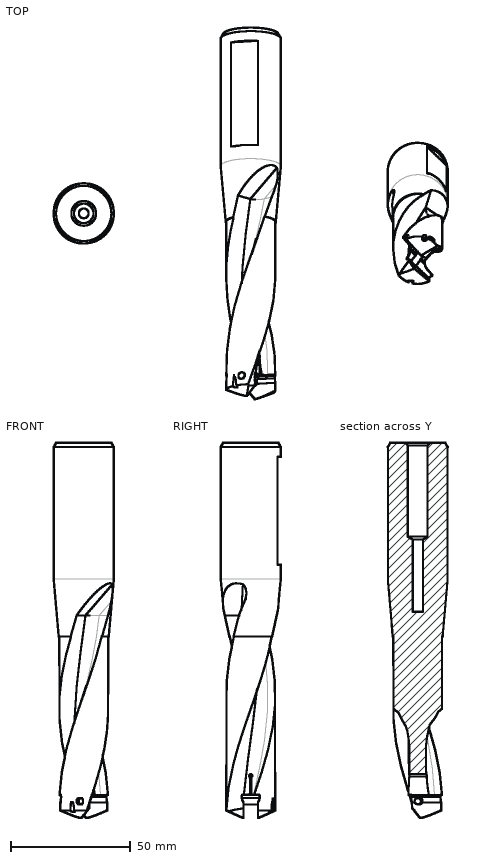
import cadquery as cq
import math


total_length = 157.3
shank_radius = 25.3 / 2
shank_bottom = 100.2
shank_chamfer_height = 1.9
shank_chamfer_angle = 30.0
shank_chamfer_width = shank_chamfer_height * math.tan(math.radians(shank_chamfer_angle))
collar_bottom = 76.2
collar_bottom_radius = 10.5
body_radius = 20.6 / 2
point_rim_radius = 3.3
point_height = 3.1

flat_depth = 1.4
flat_bottom = 106.2
flat_top = 151.4

bore_radius = 4.1
bore_depth = 39.3
bore_chamfer = 1.1
drill_point_half_angle = 59.0
channel_radius = 2.0
channel_bottom = 86.5

flute_count = 2
degrees_per_unit = 1.945
first_flute_angle = 129.0
flute_start = -1.5
helix_end = 85.0
wall_length = 18.9
lead_wall_angle = 40.0
trail_wall_angle = -38.0
lead_corner = (5.3, 4.7)
floor_bottom = (3.5, 1.3)
trail_corner = (4.0, -1.0)
runout_shift_x = 13.2
runout_shift_y = 0.8
runout_height = shank_bottom - helix_end

gash_height = 5.8
gash_top_x = -3.6
gash_bottom_x = 1.0

slot_width = 6.0
slot_top = 9.8
slot_top_width = 7.0
groove_width = 7.7
groove_top = 8.8
groove_bottom = 6.6
groove_bulge = 0.7
slit_width = 0.6
slit_end = 17.8
slit_hole_diameter = 1.1

pin_diameter = 2.8
pin_height = 7.1
pin_tilt = 9.0
pin_length = 9.5

outlet_diameter = 2.0
outlet_angle = 242.0
outlet_exit_height = 3.0
outlet_exit_radius = 9.9
outlet_tilt = 9.5
outlet_length = 9.5

across = 4 * shank_radius


def polar(radius, angle):
    return (radius * math.cos(math.radians(angle)), radius * math.sin(math.radians(angle)))


def turned_blank():
    return (
        cq.Workplane("XZ")
        .moveTo(0, 0)
        .lineTo(point_rim_radius, 0)
        .lineTo(body_radius, point_height)
        .lineTo(body_radius, collar_bottom)
        .lineTo(collar_bottom_radius, collar_bottom)
        .lineTo(shank_radius, shank_bottom)
        .lineTo(shank_radius, total_length - shank_chamfer_height)
        .lineTo(shank_radius - shank_chamfer_width, total_length)
        .lineTo(0, total_length)
        .close()
        .revolve(360, (0, 0, 0), (0, 1, 0))
    )


def clamping_flat():
    return (
        cq.Workplane("XY")
        .box(across, across, flat_top - flat_bottom, centered=(True, False, False))
        .translate((0, shank_radius - flat_depth, flat_bottom))
    )


def coolant_bore():
    floor_slope = math.tan(math.radians(drill_point_half_angle))
    bore_floor = total_length - bore_depth
    channel_top = bore_floor - (bore_radius - channel_radius) / floor_slope
    return (
        cq.Workplane("XZ")
        .moveTo(0, channel_bottom)
        .lineTo(channel_radius, channel_bottom)
        .lineTo(channel_radius, channel_top)
        .lineTo(bore_radius, bore_floor)
        .lineTo(bore_radius, total_length - bore_chamfer)
        .lineTo(bore_radius + bore_chamfer, total_length)
        .lineTo(0, total_length)
        .close()
        .revolve(360, (0, 0, 0), (0, 1, 0))
    )


def extended_wall_end(corner, surface_angle):
    """Point where the wall from corner through the body surface reaches past the part."""
    surface = cq.Vector(*polar(body_radius, surface_angle))
    start = cq.Vector(*corner)
    direction = (surface - start).normalized()
    end = start + direction * wall_length
    return (end.x, end.y)


def flute_profile():
    """Flute section pointing along +X: two straight walls and a rounded floor."""
    return (
        cq.Workplane("XY")
        .moveTo(*extended_wall_end(trail_corner, trail_wall_angle))
        .lineTo(*trail_corner)
        .threePointArc(floor_bottom, lead_corner)
        .lineTo(*extended_wall_end(lead_corner, lead_wall_angle))
        .close()
    )


def helical_flute():
    height = helix_end - flute_start
    start_angle = first_flute_angle + degrees_per_unit * flute_start
    return (
        flute_profile()
        .twistExtrude(height, degrees_per_unit * height)
        .rotate((0, 0, 0), (0, 0, 1), start_angle)
        .translate((0, 0, flute_start))
    )


def flute_runout():
    """Oblique continuation of the flute that climbs out through the collar."""
    end_angle = first_flute_angle + degrees_per_unit * helix_end
    wire = flute_profile().wire().val().rotate(cq.Vector(), cq.Vector(0, 0, 1), end_angle)
    wire = wire.translate(cq.Vector(0, 0, helix_end))
    travel = cq.Vector(runout_shift_x, runout_shift_y, runout_height)
    return cq.Workplane(cq.Solid.extrudeLinear(wire, [], travel))


def tip_gash():
    """Wedge along Y that slopes the jaw beside the first flute back from its tip."""
    return (
        cq.Workplane("XZ", origin=(0, body_radius, 0))
        .moveTo(gash_top_x, gash_height)
        .lineTo(gash_bottom_x, 0)
        .lineTo(gash_top_x, 0)
        .close()
        .extrude(body_radius)
    )


def coolant_outlet():
    exit_x, exit_y = polar(outlet_exit_radius, outlet_angle)
    inward = math.sin(math.radians(outlet_tilt))
    lean_x, lean_y = polar(-inward, outlet_angle)
    axis = cq.Vector(lean_x, lean_y, math.cos(math.radians(outlet_tilt)))
    start = cq.Vector(exit_x, exit_y, outlet_exit_height) - axis * outlet_exit_height
    length = outlet_length + outlet_exit_height
    return cq.Workplane(cq.Solid.makeCylinder(outlet_diameter / 2, length, start, axis))


def insert_slot():
    groove_middle = (groove_top + groove_bottom) / 2
    middle_half_width = (slot_width + groove_bulge * (groove_width - slot_width)) / 2
    profile = (
        cq.Workplane("YZ", origin=(-across / 2, 0, 0))
        .moveTo(0, 0)
        .lineTo(slot_width / 2, 0)
        .lineTo(slot_width / 2, groove_bottom)
        .threePointArc((middle_half_width, groove_middle), (groove_width / 2, groove_top))
        .lineTo(slot_top_width / 2, slot_top)
        .lineTo(0, slot_top)
        .close()
    )
    half = profile.extrude(across)
    return half.union(half.mirror("XZ"))


def relief_slit():
    slit = (
        cq.Workplane("XY")
        .box(across, slit_width, slit_end - groove_top, centered=(True, True, False))
        .translate((0, 0, groove_top))
    )
    end_hole = (
        cq.Workplane("YZ", origin=(-across / 2, 0, slit_end))
        .circle(slit_hole_diameter / 2)
        .extrude(across)
    )
    return slit.union(end_hole)


def pin_cylinder(length):
    return (
        cq.Workplane("XZ", origin=(0, length / 2, pin_height))
        .circle(pin_diameter / 2)
        .extrude(length)
        .rotate((0, 0, 0), (0, 0, 1), -pin_tilt)
    )


def make_drill():
    drill = turned_blank().cut(clamping_flat()).cut(coolant_bore())
    repeated_cuts = [helical_flute(), flute_runout(), tip_gash(), coolant_outlet()]
    for index in range(flute_count):
        turn = index * 360 / flute_count
        for cutter in repeated_cuts:
            drill = drill.cut(cutter.rotate((0, 0, 0), (0, 0, 1), turn))
    return drill.cut(insert_slot()).cut(relief_slit()).cut(pin_cylinder(across))


def make_pin():
    return pin_cylinder(pin_length)


drill = make_drill()
pin = make_pin()
result = cq.Compound.makeCompound([drill.val(), pin.val()])